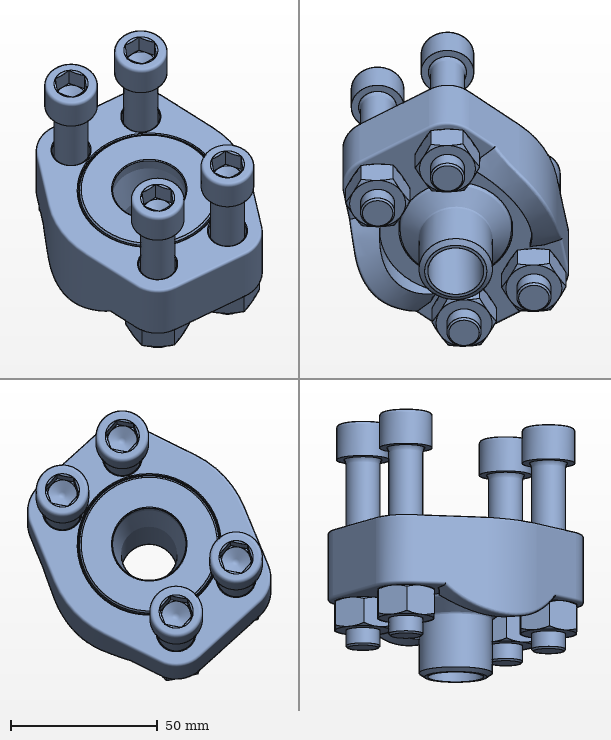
import cadquery as cq
import math

bolt_span_x = 57.2
bolt_span_y = 27.8
bolt_positions = [
    (side_x * bolt_span_x / 2, side_y * bolt_span_y / 2)
    for side_x in (-1, 1)
    for side_y in (-1, 1)
]

flange_length = 81.0
flange_width = 69.9
flange_thickness = 24.0
flange_bottom = 25.5
flange_top = flange_bottom + flange_thickness
flange_edge_radius = 0.95
corner_radius = (flange_length - bolt_span_x) / 2
crown_radius = flange_width / 2
saddle_radius = 32.6
saddle_bottom = 15.9
saddle_draft = math.radians(7)
saddle_overrun = 4.3
relief_diameter = 51.9
rim_chamfer = 0.35
bolt_hole_diameter = 13
neck_hole_diameter = 38.8
collar_recess_diameter = 48.4
collar_recess_floor = 40.65

collar_protrusion = 0.5
nipple_top = flange_top + collar_protrusion
collar_diameter = 47.6
collar_chamfer = 0.6
neck_diameter = 37.9
neck_bottom = 24.9
neck_taper_height = 4.9
neck_blend_radius = 1.0
tube_diameter = 25.0
tube_bore = 19
tube_blend_radius = 0.8
tube_chamfer_width = 1.9
tube_chamfer_height = 1.3
mouth_diameter = 25.0
mouth_depth = 4.8
mouth_cone_depth = 13.8

bolt_top = 86.5
head_diameter = 18.0
head_height = 12.0
head_bottom = bolt_top - head_height
head_edge_radius = 1.2
shank_diameter = 11.7
shank_length = 65.0
shank_bottom = head_bottom - shank_length
shank_tip_diameter = 10.4
underhead_diameter = 13
underhead_height = 1.7
socket_flats = 10.0
socket_depth = 7.35
socket_turn = 36
socket_cone_height = 3.0
socket_lead_angle = math.radians(30)

nut_flats = 19
nut_height = 10.0
nut_bottom = flange_bottom - nut_height
nut_chamfer_angle = math.radians(30)
nut_clearance_diameter = 22.9


def across_corners(flats):
    return flats / math.cos(math.pi / 6)


def cylinder(diameter, bottom, height):
    return cq.Workplane("XY").workplane(offset=bottom).circle(diameter / 2).extrude(height)


def hexagon(flats, bottom, height):
    return cq.Workplane("XY").workplane(offset=bottom).polygon(6, across_corners(flats)).extrude(height)


def cone(bottom_diameter, top_diameter, bottom, height):
    base = cq.Vector(0, 0, bottom)
    return cq.Workplane(cq.Solid.makeCone(bottom_diameter / 2, top_diameter / 2, height, base))


def revolve_about_z(profile):
    return profile.revolve(360, (0, 0, 0), (0, 1, 0))


def flange_outline():
    """Corner arcs about the bolts, joined by tangent lines to crown arcs about the centre."""
    corner_x, corner_y = bolt_span_x / 2, bolt_span_y / 2
    bolt_distance = math.hypot(corner_x, corner_y)
    tangent_normal = math.atan2(corner_y, corner_x) + math.acos(
        (crown_radius - corner_radius) / bolt_distance
    )

    def on_corner(angle):
        return corner_x + corner_radius * math.cos(angle), corner_y + corner_radius * math.sin(angle)

    right = flange_length / 2
    mid_x, mid_y = on_corner(tangent_normal / 2)
    end_x, end_y = on_corner(tangent_normal)
    crown_x = crown_radius * math.cos(tangent_normal)
    crown_y = crown_radius * math.sin(tangent_normal)
    return (
        cq.Workplane("XY")
        .moveTo(right, -corner_y)
        .lineTo(right, corner_y)
        .threePointArc((mid_x, mid_y), (end_x, end_y))
        .lineTo(crown_x, crown_y)
        .threePointArc((0, crown_radius), (-crown_x, crown_y))
        .lineTo(-end_x, end_y)
        .threePointArc((-mid_x, mid_y), (-right, corner_y))
        .lineTo(-right, -corner_y)
        .threePointArc((-mid_x, -mid_y), (-end_x, -end_y))
        .lineTo(-crown_x, -crown_y)
        .threePointArc((0, -crown_radius), (crown_x, -crown_y))
        .lineTo(end_x, -end_y)
        .threePointArc((mid_x, -mid_y), (right, -corner_y))
        .close()
    )


def saddle_cones():
    """Two cones along Y that widen outwards from a common waist at the middle."""
    flare = math.tan(saddle_draft)
    waist_radius = saddle_radius - crown_radius * flare
    end_radius = saddle_radius + saddle_overrun * flare
    waist = cq.Vector(0, 0, saddle_bottom + saddle_radius)
    length = crown_radius + saddle_overrun
    front, back = [
        cq.Workplane(cq.Solid.makeCone(waist_radius, end_radius, length, waist, cq.Vector(0, way, 0)))
        for way in (-1, 1)
    ]
    return front.union(back)


def round_outline_edges(blank):
    """Round the top and bottom outline edges, leaving the edges under the middle sharp."""
    half_x, half_y = bolt_span_x / 2, collar_recess_diameter / 2
    inner_edges = cq.selectors.BoxSelector((-half_x, -half_y, 0), (half_x, half_y, flange_top))
    level_edges = cq.selectors.StringSyntaxSelector("not |Z")
    return blank.edges(level_edges - inner_edges).fillet(flange_edge_radius)


def chamfered_hole(diameter, bottom):
    """Cutter for a hole from the given level up to a chamfered rim in the flange top."""
    rim = cone(diameter, diameter + 2 * rim_chamfer, flange_top - rim_chamfer, rim_chamfer)
    return cylinder(diameter, bottom, flange_top - bottom).union(rim)


def make_flange():
    plate = flange_outline().extrude(flange_thickness).translate((0, 0, flange_bottom))
    saddle = flange_outline().extrude(flange_top).intersect(saddle_cones())
    flange = round_outline_edges(plate.union(saddle))
    flange = flange.cut(cylinder(relief_diameter, 0, flange_bottom))
    flange = flange.cut(cylinder(neck_hole_diameter, 0, flange_top))
    flange = flange.cut(chamfered_hole(collar_recess_diameter, collar_recess_floor))
    bolt_hole = chamfered_hole(bolt_hole_diameter, 0)
    nut_clearance = cylinder(nut_clearance_diameter, 0, flange_bottom)
    for x, y in bolt_positions:
        flange = flange.cut(bolt_hole.translate((x, y, 0)))
        flange = flange.cut(nut_clearance.translate((x, y, 0)))
    return flange


def ring_edge(radius, level):
    """Selector for the circular edge of a given radius at a given level."""
    slack = 0.1
    reach = radius + slack
    return cq.selectors.BoxSelector(
        (-reach, -reach, level - slack), (reach, reach, level + slack), boundingbox=True
    )


def make_nipple():
    """Tube with a tapered neck and a collar, and a coned mouth leading into its bore."""
    collar_radius = collar_diameter / 2
    neck_radius = neck_diameter / 2
    tube_radius = tube_diameter / 2
    bore_radius = tube_bore / 2
    mouth_radius = mouth_diameter / 2
    taper_bottom = neck_bottom - neck_taper_height
    mouth_floor = nipple_top - mouth_depth
    nipple = revolve_about_z(
        cq.Workplane("XZ")
        .moveTo(bore_radius, 0)
        .lineTo(tube_radius - tube_chamfer_width, 0)
        .lineTo(tube_radius, tube_chamfer_height)
        .lineTo(tube_radius, taper_bottom)
        .lineTo(neck_radius, neck_bottom)
        .lineTo(neck_radius, collar_recess_floor)
        .lineTo(collar_radius, collar_recess_floor)
        .lineTo(collar_radius, nipple_top - collar_chamfer)
        .lineTo(collar_radius - collar_chamfer, nipple_top)
        .lineTo(mouth_radius + rim_chamfer, nipple_top)
        .lineTo(mouth_radius, nipple_top - rim_chamfer)
        .lineTo(mouth_radius, mouth_floor)
        .lineTo(bore_radius, mouth_floor - mouth_cone_depth)
        .close()
    )
    nipple = nipple.edges(ring_edge(neck_radius, neck_bottom)).fillet(neck_blend_radius)
    return nipple.edges(ring_edge(tube_radius, taper_bottom)).fillet(tube_blend_radius)


def make_bolt_shank():
    """Chamfered shank that flares out into the underside of the head."""
    shank_radius = shank_diameter / 2
    tip_radius = shank_tip_diameter / 2
    return revolve_about_z(
        cq.Workplane("XZ")
        .moveTo(0, shank_bottom)
        .lineTo(tip_radius, shank_bottom)
        .lineTo(shank_radius, shank_bottom + shank_radius - tip_radius)
        .lineTo(shank_radius, head_bottom - underhead_height)
        .tangentArcPoint((underhead_diameter / 2, head_bottom), relative=False)
        .lineTo(0, head_bottom)
        .close()
    )


def make_socket():
    """Cutter for the hexagon socket with its drill cone below and lead-in chamfer above."""
    floor = bolt_top - socket_depth
    corners = across_corners(socket_flats)
    lead_depth = (corners - socket_flats) / 2 * math.tan(socket_lead_angle)
    key = hexagon(socket_flats, floor, socket_depth).rotate((0, 0, 0), (0, 0, 1), socket_turn)
    drill_cone = cone(0, socket_flats, floor - socket_cone_height, socket_cone_height)
    lead_in = cone(socket_flats, corners, bolt_top - lead_depth, lead_depth)
    return key.union(drill_cone).union(lead_in)


def make_bolt():
    head = cylinder(head_diameter, head_bottom, head_height)
    head = head.faces(">Z").edges().fillet(head_edge_radius)
    return head.union(make_bolt_shank()).cut(make_socket())


def make_nut():
    """Hexagon nut with its corners chamfered at both ends."""
    flat_radius = nut_flats / 2
    hex_corner_radius = across_corners(nut_flats) / 2
    chamfer_height = (hex_corner_radius - flat_radius) * math.tan(nut_chamfer_angle)
    chamfered_disc = revolve_about_z(
        cq.Workplane("XZ")
        .moveTo(0, nut_bottom)
        .lineTo(flat_radius, nut_bottom)
        .lineTo(hex_corner_radius, nut_bottom + chamfer_height)
        .lineTo(hex_corner_radius, flange_bottom - chamfer_height)
        .lineTo(flat_radius, flange_bottom)
        .lineTo(0, flange_bottom)
        .close()
    )
    nut = hexagon(nut_flats, nut_bottom, nut_height).intersect(chamfered_disc)
    return nut.cut(cylinder(shank_diameter, nut_bottom, nut_height))


flange = make_flange()
nipple = make_nipple()
bolts = []
nuts = []
for x, y in bolt_positions:
    bolts.append(make_bolt().translate((x, y, 0)).solids().val())
    nuts.append(make_nut().translate((x, y, 0)).solids().val())

result = cq.Compound.makeCompound([flange.solids().val(), nipple.solids().val(), *bolts, *nuts])